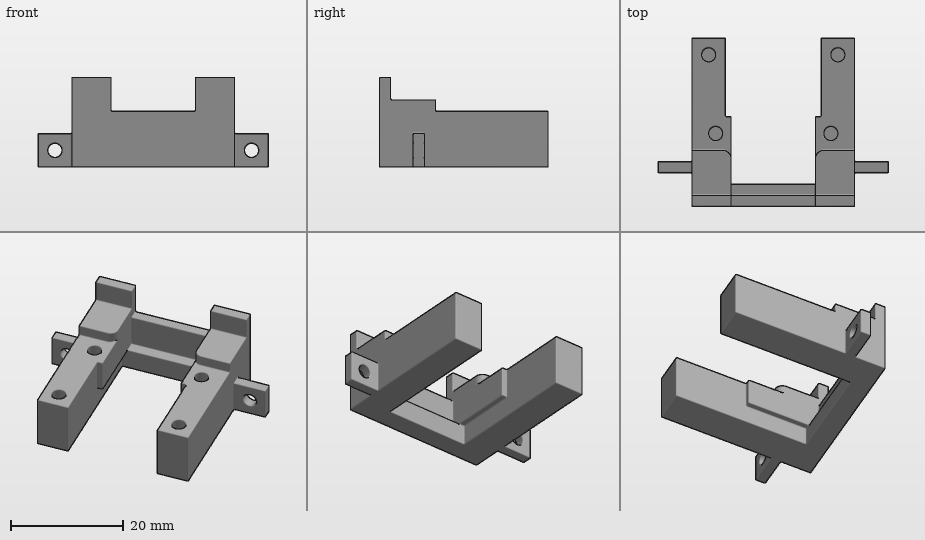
import cadquery as cq

BODY_WIDTH = 29.0
BODY_DEPTH = 30.0
ARM_HEIGHT = 10.0

WALL_HEIGHT = 16.0
WALL_THICKNESS = 2.0
NOTCH_WIDTH = 15.0

ARM_GAP = 17.0
PAD_DEPTH = 16.0
PAD_BOTTOM = 4.0

LEDGE_DEPTH = 4.0
LEDGE_HEIGHT = PAD_BOTTOM

SHOULDER_HEIGHT = 12.0
SHOULDER_DEPTH = 10.0
SHOULDER_CORNER_RADIUS = 1.5

EAR_SPAN = 41.0
EAR_HEIGHT = 6.0
EAR_FRONT = 6.0
EAR_THICKNESS = 2.0

HOLE_DIAMETER = 2.5
ARM_HOLE_DEPTH = 8.0
REAR_HOLE_X = 11.5
REAR_HOLE_Y = 27.0
FRONT_HOLE_X = 10.25
FRONT_HOLE_Y = 13.0

EDGE_RADIUS = 0.2

TOLERANCE = 0.001

SIDES = (-1, 1)
ARM_WIDTH = (BODY_WIDTH - ARM_GAP) / 2
ARM_CENTER = (BODY_WIDTH - ARM_WIDTH) / 2
SHOULDER_WIDTH = (BODY_WIDTH - NOTCH_WIDTH) / 2
SHOULDER_CENTER = (BODY_WIDTH - SHOULDER_WIDTH) / 2
EAR_LENGTH = (EAR_SPAN - BODY_WIDTH) / 2
EAR_CENTER = (BODY_WIDTH + EAR_LENGTH) / 2


def block(x_center, width, y_range, z_range):
    """Box centred on x_center that fills the given Y and Z ranges."""
    y_low, y_high = y_range
    z_low, z_high = z_range
    box = cq.Workplane("XY").box(width, y_high - y_low, z_high - z_low, centered=(True, False, False))
    return box.translate((x_center, y_low, z_low))


def front_wall():
    wall = block(0, BODY_WIDTH, (0, WALL_THICKNESS), (0, WALL_HEIGHT))
    notch = block(0, NOTCH_WIDTH, (0, WALL_THICKNESS), (ARM_HEIGHT, WALL_HEIGHT))
    return wall.cut(notch)


def ledge():
    return block(0, BODY_WIDTH, (0, LEDGE_DEPTH), (0, LEDGE_HEIGHT))


def arm(side):
    beam = block(side * ARM_CENTER, ARM_WIDTH, (0, BODY_DEPTH), (0, ARM_HEIGHT))
    pad = block(side * SHOULDER_CENTER, SHOULDER_WIDTH, (0, PAD_DEPTH), (PAD_BOTTOM, ARM_HEIGHT))
    return beam.union(pad)


def shoulder(side):
    raised = block(side * SHOULDER_CENTER, SHOULDER_WIDTH, (0, SHOULDER_DEPTH), (ARM_HEIGHT, SHOULDER_HEIGHT))
    inner_rear_corner = ">Y and <X" if side > 0 else ">Y and >X"
    return raised.edges("|Z").edges(inner_rear_corner).fillet(SHOULDER_CORNER_RADIUS)


def ear(side):
    return block(side * EAR_CENTER, EAR_LENGTH, (EAR_FRONT, EAR_FRONT + EAR_THICKNESS), (0, EAR_HEIGHT))


def arm_hole(x, y):
    """Cutter for a blind hole sunk from the top of an arm."""
    hole = cq.Workplane("XY").circle(HOLE_DIAMETER / 2).extrude(-ARM_HOLE_DEPTH)
    return hole.translate((x, y, ARM_HEIGHT))


def ear_hole(side):
    """Cutter for a hole through an ear, front to back."""
    hole = cq.Workplane("XZ").circle(HOLE_DIAMETER / 2).extrude(-EAR_THICKNESS)
    return hole.translate((side * EAR_CENTER, EAR_FRONT, EAR_HEIGHT / 2))


def is_arm_hole_floor(edge):
    """True for the circle round the flat bottom of an arm hole."""
    floor_z = ARM_HEIGHT - ARM_HOLE_DEPTH
    return edge.geomType() == "CIRCLE" and abs(edge.Center().z - floor_z) < TOLERANCE


body = front_wall().union(ledge())
for side in SIDES:
    body = body.union(arm(side)).union(shoulder(side)).union(ear(side))
body = body.clean()

for side in SIDES:
    body = body.cut(arm_hole(side * REAR_HOLE_X, REAR_HOLE_Y))
    body = body.cut(arm_hole(side * FRONT_HOLE_X, FRONT_HOLE_Y))
    body = body.cut(ear_hole(side))

result = body.edges().filter(lambda edge: not is_arm_hole_floor(edge)).fillet(EDGE_RADIUS)